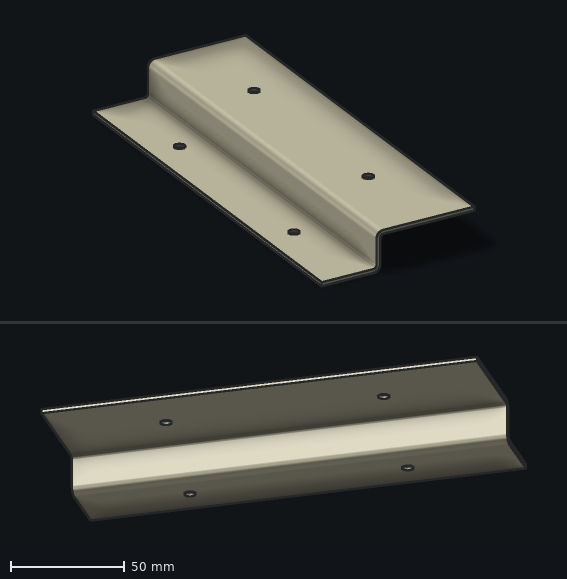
import cadquery as cq

length = 200.0
depth = 78.0
height = 20.0

thickness = 2.0
inner_radius = 1.5
outer_radius = inner_radius + thickness
lower_flange_depth = 30.0

hole_diameter = 5.0
hole_spacing = length / 2
upper_hole_setback = 25.0
lower_hole_setback = 15.0

front_y = -depth / 2
back_y = depth / 2
web_back_y = front_y + lower_flange_depth
web_front_y = web_back_y - thickness


def make_sheet():
    """Z-shaped section of constant thickness, extruded along X."""
    section = (
        cq.Workplane("YZ", origin=(-length / 2, 0, 0))
        .moveTo(front_y, 0)
        .lineTo(web_back_y - outer_radius, 0)
        .radiusArc((web_back_y, outer_radius), -outer_radius)
        .lineTo(web_back_y, height - outer_radius)
        .radiusArc((web_back_y + inner_radius, height - thickness), inner_radius)
        .lineTo(back_y, height - thickness)
        .lineTo(back_y, height)
        .lineTo(web_front_y + outer_radius, height)
        .radiusArc((web_front_y, height - outer_radius), -outer_radius)
        .lineTo(web_front_y, outer_radius)
        .radiusArc((web_front_y - inner_radius, thickness), inner_radius)
        .lineTo(front_y, thickness)
        .close()
    )
    return section.extrude(length)


def make_hole_cutters():
    """Vertical cylinders through both flanges."""
    hole_rows = (front_y + lower_hole_setback, back_y - upper_hole_setback)
    centres = [(x, y) for y in hole_rows for x in (-hole_spacing / 2, hole_spacing / 2)]
    return cq.Workplane("XY").pushPoints(centres).circle(hole_diameter / 2).extrude(height)


result = make_sheet().cut(make_hole_cutters())